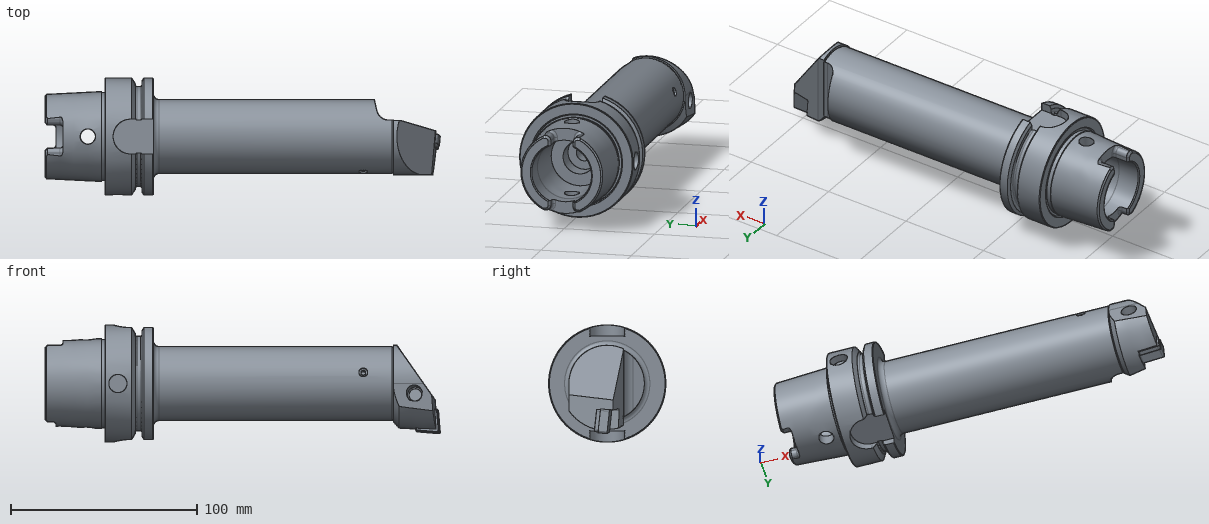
import cadquery as cq
import math


TOTAL_LENGTH = 212.0

SHANK_LENGTH = 32.0
TAPER_RADIUS = 24.2
TAPER_END_RADIUS = 22.7
SHANK_END_CHAMFER = 0.8
RELIEF_WIDTH = 2.0
RELIEF_RADIUS = 23.7
FACE_GROOVE_RADIUS = 25.6
FACE_GROOVE_DEPTH = 0.6
ACCESS_HOLE_X = -9.1
ACCESS_HOLE_RADIUS = 4.0

BORE_RADIUS = 16.5
BORE_MOUTH_CHAMFER = 0.6
BORE_STRAIGHT_DEPTH = 13.0
BORE_FLOOR_RADIUS = 15.5
BORE_FLOOR_X = 6.4
TUBE_HOLE_RADIUS = 9.0
TUBE_HOLE_END_X = 17.0
DRILL_RADIUS = 4.2
DRILL_END_X = 42.4
DRILL_TIP_HALF_ANGLE = 59.0
DRILL_TIP_LENGTH = DRILL_RADIUS / math.tan(math.radians(DRILL_TIP_HALF_ANGLE))
DUCT_RADIUS = 0.8
DUCT_OFFSET = 2.8

KEY_SLOTS = [(1, 9.5), (-1, 5.7)]
KEY_SLOT_HALF_WIDTH = 6.1
KEY_SLOT_EDGE_RADIUS = 2.8
KEY_SLOT_LEDGE_Z = 20.5
KEY_SLOT_FLOOR_FILLET = 1.5
KEY_SLOT_MOUTH_BEVEL = 1.3
KEY_SLOT_MOUTH_ANGLE = 45.0

FLANGE_DIAMETER = 63.0
FLANGE_RADIUS = FLANGE_DIAMETER / 2
FLANGE_WIDTH = 26.0
FLANGE_CHAMFER = 0.5
GROOVE_START_X = 14.5
GROOVE_LEFT_WALL_X = 16.3
GROOVE_RIGHT_WALL_X = 20.0
GROOVE_END_X = 21.0
GROOVE_BOTTOM_RADIUS = 27.0
GROOVE_FILLET = 0.8
GROOVE_LEFT_BEVEL_HEIGHT = 3.2
GROOVE_RIGHT_BEVEL_HEIGHT = 1.7
FLANGE_SLOT_HALF_WIDTH = 9.3
FLANGE_SLOT_START_X = 4.5
FLANGE_SLOT_FLOOR_Z = 25.5
CHIP_HOLE_X = 7.0
CHIP_HOLE_RADIUS = 4.9
CHIP_HOLE_DEPTH = 4.5

BAR_RADIUS = 20.0
BAR_END_X = 154.7
BAR_FILLET = 3.0
BAR_END_CHAMFER = 0.6
BAR_CUT_Y = 9.0
BAR_CUT_WALL_X = 144.5
BAR_CUT_CORNER_X = 147.0
BAR_CUT_FILLET = 6.4

SET_SCREW_X = 138.5
SET_SCREW_Z = 6.1
SET_SCREW_RADIUS = 2.3
SET_SCREW_RECESS = 1.0
SET_SCREW_LENGTH = 6.4
SET_SCREW_SOCKET_WIDTH = 2.5
SET_SCREW_SOCKET_DEPTH = 2.5

HEAD_RADIUS = 20.5
HEAD_BEVEL_END_X = 157.9
HEAD_BELLY_RADIUS = 24.0
HEAD_BELLY_END_RADIUS = 25.6
HEAD_END_X = 176.3
HEAD_END_TILT = 0.075
HEAD_STOCK_END_X = 182.2
HEAD_SLANT_TOP_X = 156.5
HEAD_SLANT_MID_X = 171.0
HEAD_FACE_Y = 8.7
HEAD_FACE_BEND_X = 158.5
HEAD_FACE_ANGLE = 16.5

TIP_X = TOTAL_LENGTH - SHANK_LENGTH
TIP_Z = -27.0
INSERT_EDGE = 13.0
INSERT_CORNER_ANGLE = 80.0
INSERT_NOSE_RADIUS = 0.8
INSERT_THICKNESS = 4.9
SHIM_THICKNESS = 2.1
SHIM_INSET = 0.5
INSERT_TILT = 0.1

CLAMP_HOLE_X = 166.0
CLAMP_HOLE_Z = -5.0
CLAMP_HOLE_RADIUS = 4.2
CLAMP_HOLE_DEPTH = 6.4
CLAMP_SHIFT_X = 0.6
CLAMP_SHIFT_Z = -1.0
CLAMP_SCREW_LENGTH = 4.2
CLAMP_SCREW_CHAMFER = 0.8

OVERCUT = 2.1
MARGIN = 10.5
REACH = 42.4


def turned(points):
    """Solid of revolution about the X axis from (x, radius) points."""
    return cq.Workplane("XY").polyline(points).close().revolve(360, (0, 0, 0), (1, 0, 0))


def rod(start, direction, radius, length):
    """Cylinder that starts at a point and runs along a direction."""
    plane = cq.Plane(origin=start, normal=direction)
    return cq.Workplane(plane).circle(radius).extrude(length)



def holder_blank():
    shank_end = -SHANK_LENGTH
    groove_left_radius = FLANGE_RADIUS - GROOVE_LEFT_BEVEL_HEIGHT
    groove_right_radius = FLANGE_RADIUS - GROOVE_RIGHT_BEVEL_HEIGHT
    profile = (
        cq.Workplane("XY")
        .moveTo(shank_end, 0)
        .lineTo(shank_end, TAPER_END_RADIUS - SHANK_END_CHAMFER)
        .lineTo(shank_end + SHANK_END_CHAMFER, TAPER_END_RADIUS)
        .lineTo(-RELIEF_WIDTH, TAPER_RADIUS)
        .lineTo(-RELIEF_WIDTH, RELIEF_RADIUS)
        .lineTo(FACE_GROOVE_DEPTH, RELIEF_RADIUS)
        .lineTo(FACE_GROOVE_DEPTH, FACE_GROOVE_RADIUS - FACE_GROOVE_DEPTH)
        .lineTo(0, FACE_GROOVE_RADIUS)
        .lineTo(0, FLANGE_RADIUS - FLANGE_CHAMFER)
        .lineTo(FLANGE_CHAMFER, FLANGE_RADIUS)
        .lineTo(GROOVE_START_X, FLANGE_RADIUS)
        .lineTo(GROOVE_LEFT_WALL_X, groove_left_radius)
        .lineTo(GROOVE_LEFT_WALL_X, GROOVE_BOTTOM_RADIUS + GROOVE_FILLET)
        .radiusArc((GROOVE_LEFT_WALL_X + GROOVE_FILLET, GROOVE_BOTTOM_RADIUS), -GROOVE_FILLET)
        .lineTo(GROOVE_RIGHT_WALL_X - GROOVE_FILLET, GROOVE_BOTTOM_RADIUS)
        .radiusArc((GROOVE_RIGHT_WALL_X, GROOVE_BOTTOM_RADIUS + GROOVE_FILLET), -GROOVE_FILLET)
        .lineTo(GROOVE_RIGHT_WALL_X, groove_right_radius)
        .lineTo(GROOVE_END_X, FLANGE_RADIUS)
        .lineTo(FLANGE_WIDTH - FLANGE_CHAMFER, FLANGE_RADIUS)
        .lineTo(FLANGE_WIDTH, FLANGE_RADIUS - FLANGE_CHAMFER)
        .lineTo(FLANGE_WIDTH, BAR_RADIUS + BAR_FILLET)
        .radiusArc((FLANGE_WIDTH + BAR_FILLET, BAR_RADIUS), -BAR_FILLET)
        .lineTo(BAR_END_X - BAR_END_CHAMFER, BAR_RADIUS)
        .lineTo(BAR_END_X, BAR_RADIUS - BAR_END_CHAMFER)
        .lineTo(BAR_END_X, 0)
        .close()
    )
    return profile.revolve(360, (0, 0, 0), (1, 0, 0))


def shank_bore():
    bore = turned([
        (-SHANK_LENGTH, 0),
        (-SHANK_LENGTH, BORE_RADIUS + BORE_MOUTH_CHAMFER),
        (-SHANK_LENGTH + BORE_MOUTH_CHAMFER, BORE_RADIUS),
        (-SHANK_LENGTH + BORE_STRAIGHT_DEPTH, BORE_RADIUS),
        (BORE_FLOOR_X, BORE_FLOOR_RADIUS),
        (BORE_FLOOR_X, TUBE_HOLE_RADIUS),
        (TUBE_HOLE_END_X, TUBE_HOLE_RADIUS),
        (TUBE_HOLE_END_X, DRILL_RADIUS),
        (DRILL_END_X, DRILL_RADIUS),
        (DRILL_END_X + DRILL_TIP_LENGTH, 0),
    ])
    duct = rod((DRILL_END_X, DUCT_OFFSET, 0), (1, 0, 0), DUCT_RADIUS, BAR_END_X - DRILL_END_X)
    return bore.union(duct)


def key_slot_outline(x):
    """Slot section with rounded outer edges, on a plane across the shank at x."""
    half = KEY_SLOT_HALF_WIDTH
    edge = KEY_SLOT_EDGE_RADIUS
    ledge_y = half + edge
    return (
        cq.Workplane("YZ", origin=(x, 0, 0))
        .moveTo(-half, 0)
        .lineTo(-half, KEY_SLOT_LEDGE_Z - edge)
        .radiusArc((-ledge_y, KEY_SLOT_LEDGE_Z), -edge)
        .lineTo(-ledge_y - MARGIN, KEY_SLOT_LEDGE_Z)
        .lineTo(-ledge_y - MARGIN, FLANGE_RADIUS)
        .lineTo(ledge_y + MARGIN, FLANGE_RADIUS)
        .lineTo(ledge_y + MARGIN, KEY_SLOT_LEDGE_Z)
        .lineTo(ledge_y, KEY_SLOT_LEDGE_Z)
        .radiusArc((half, KEY_SLOT_LEDGE_Z - edge), -edge)
        .lineTo(half, 0)
        .close()
    )


def key_slot(side, depth):
    """Slot through the shank wall on the +Z (side 1) or -Z (side -1) side, with a bevelled mouth."""
    slot = (
        key_slot_outline(-SHANK_LENGTH)
        .extrude(depth)
        .faces(">X")
        .edges("not <Z")
        .edges("not >Z")
        .fillet(KEY_SLOT_FLOOR_FILLET)
    )
    mouth_start_x = KEY_SLOT_MOUTH_BEVEL - SHANK_LENGTH
    mouth = key_slot_outline(mouth_start_x).extrude(-KEY_SLOT_MOUTH_BEVEL, taper=-KEY_SLOT_MOUTH_ANGLE)
    slot = slot.union(mouth)
    if side < 0:
        slot = slot.mirror("XY")
    return slot


def flange_slot(side):
    """Round-ended driving slot on the +Z or -Z side of the flange."""
    half = FLANGE_SLOT_HALF_WIDTH
    arc_center_x = FLANGE_SLOT_START_X + half
    slot = (
        cq.Workplane("XY", origin=(0, 0, FLANGE_SLOT_FLOOR_Z))
        .moveTo(FLANGE_WIDTH, -half)
        .lineTo(arc_center_x, -half)
        .threePointArc((FLANGE_SLOT_START_X, 0), (arc_center_x, half))
        .lineTo(FLANGE_WIDTH, half)
        .close()
        .extrude(MARGIN)
    )
    if side < 0:
        slot = slot.mirror("XY")
    return slot


def bar_relief():
    """Clearance cut on the +Y side of the bar end: steep wall, fillet and flat."""
    return (
        cq.Workplane("XY", origin=(0, 0, -REACH))
        .moveTo(BAR_CUT_WALL_X, BAR_RADIUS)
        .lineTo(BAR_CUT_CORNER_X, BAR_CUT_Y)
        .lineTo(BAR_END_X + MARGIN, BAR_CUT_Y)
        .lineTo(BAR_END_X + MARGIN, BAR_RADIUS + MARGIN)
        .lineTo(BAR_CUT_WALL_X, BAR_RADIUS + MARGIN)
        .close()
        .extrude(2 * REACH)
        .edges(cq.selectors.NearestToPointSelector((BAR_CUT_CORNER_X, BAR_CUT_Y, 0)))
        .fillet(BAR_CUT_FILLET)
    )


SET_SCREW_SURFACE_Y = -math.sqrt(BAR_RADIUS**2 - SET_SCREW_Z**2)
SET_SCREW_AXIS = cq.Vector(0, -SET_SCREW_SURFACE_Y, -SET_SCREW_Z).normalized()


def set_screw_point(depth):
    surface = cq.Vector(SET_SCREW_X, SET_SCREW_SURFACE_Y, SET_SCREW_Z)
    return (surface + SET_SCREW_AXIS * depth).toTuple()


def set_screw_hole():
    depth = SET_SCREW_RECESS + SET_SCREW_LENGTH
    return rod(set_screw_point(-OVERCUT), SET_SCREW_AXIS, SET_SCREW_RADIUS, depth + OVERCUT)


def make_holder():
    holder = holder_blank().cut(shank_bore())
    for side, depth in KEY_SLOTS:
        holder = holder.cut(key_slot(side, depth)).cut(flange_slot(side))
    holder = holder.cut(rod((ACCESS_HOLE_X, 0, -REACH), (0, 0, 1), ACCESS_HOLE_RADIUS, 2 * REACH))
    chip_hole_start = (CHIP_HOLE_X, -FLANGE_RADIUS, 0)
    holder = holder.cut(rod(chip_hole_start, (0, 1, 0), CHIP_HOLE_RADIUS, CHIP_HOLE_DEPTH))
    return holder.cut(bar_relief()).cut(set_screw_hole())



def make_set_screw():
    screw = rod(set_screw_point(SET_SCREW_RECESS), SET_SCREW_AXIS, SET_SCREW_RADIUS, SET_SCREW_LENGTH)
    socket_plane = cq.Plane(origin=set_screw_point(SET_SCREW_RECESS), normal=SET_SCREW_AXIS)
    socket_diameter = SET_SCREW_SOCKET_WIDTH / math.cos(math.pi / 6)
    socket = cq.Workplane(socket_plane).polygon(6, socket_diameter).extrude(SET_SCREW_SOCKET_DEPTH)
    return screw.cut(socket)



INSERT_NORMAL = cq.Vector(INSERT_TILT, 1, -INSERT_TILT).normalized()


def rhomb_plate(inset, top, thickness):
    """Rounded rhomb from a height along the insert normal downward; inset moves its sides inward."""
    half_angle = math.radians(INSERT_CORNER_ANGLE / 2)
    corner_to_nose_center = INSERT_NOSE_RADIUS / math.sin(half_angle)
    middle = INSERT_EDGE * math.cos(half_angle) - corner_to_nose_center
    long_half = INSERT_EDGE * math.cos(half_angle) - inset / math.sin(half_angle)
    short_half = INSERT_EDGE * math.sin(half_angle) - inset / math.cos(half_angle)
    nose_center = cq.Vector(TIP_X - INSERT_NOSE_RADIUS, 0, TIP_Z + INSERT_NOSE_RADIUS)
    plane = cq.Plane(
        origin=(nose_center + INSERT_NORMAL * top).toTuple(),
        xDir=(-1, 2 * INSERT_TILT, 1),
        normal=INSERT_NORMAL * -1,
    )
    corners = [
        (middle - long_half, 0),
        (middle, short_half),
        (middle + long_half, 0),
        (middle, -short_half),
    ]
    plate = cq.Workplane(plane).polyline(corners).close().extrude(thickness)
    return plate.edges(cq.selectors.ParallelDirSelector(INSERT_NORMAL)).fillet(INSERT_NOSE_RADIUS)


def make_insert():
    return rhomb_plate(0, 0, INSERT_THICKNESS)


def make_shim():
    return rhomb_plate(SHIM_INSET, -INSERT_THICKNESS, SHIM_THICKNESS)



CLAMP_AXIS = cq.Vector(CLAMP_SHIFT_X, CLAMP_HOLE_DEPTH, CLAMP_SHIFT_Z).normalized()


def clamp_point(depth):
    mouth = cq.Vector(CLAMP_HOLE_X, -HEAD_RADIUS, CLAMP_HOLE_Z)
    return (mouth + CLAMP_AXIS * depth).toTuple()


def make_clamp_screw():
    screw = rod(clamp_point(CLAMP_HOLE_DEPTH), CLAMP_AXIS, CLAMP_HOLE_RADIUS, CLAMP_SCREW_LENGTH)
    return screw.faces("<Y").chamfer(CLAMP_SCREW_CHAMFER)



def head_stock():
    """Cylinder above the axis, widening belly below it, flat along the -Y side."""
    length = HEAD_STOCK_END_X - BAR_END_X
    upper = rod((BAR_END_X, 0, 0), (1, 0, 0), HEAD_RADIUS, length)
    belly = turned([
        (BAR_END_X, 0),
        (BAR_END_X, HEAD_RADIUS),
        (HEAD_BEVEL_END_X, HEAD_BELLY_RADIUS),
        (HEAD_STOCK_END_X, HEAD_BELLY_END_RADIUS),
        (HEAD_STOCK_END_X, 0),
    ])
    corner = (BAR_END_X, -HEAD_RADIUS, -REACH)
    lower_half = cq.Workplane("XY", origin=corner).box(length, REACH, REACH, centered=False)
    return upper.union(belly.intersect(lower_half))


def head_plan():
    """Outline seen along Z: flat on the -Y side, sloping chip face on the +Y side."""
    drop = (HEAD_STOCK_END_X - HEAD_FACE_BEND_X) * math.tan(math.radians(HEAD_FACE_ANGLE))
    return (
        cq.Workplane("XY", origin=(0, 0, -REACH))
        .polyline([
            (BAR_END_X, -HEAD_RADIUS),
            (HEAD_STOCK_END_X, -HEAD_RADIUS),
            (HEAD_STOCK_END_X, HEAD_FACE_Y - drop),
            (HEAD_FACE_BEND_X, HEAD_FACE_Y),
            (BAR_END_X, HEAD_FACE_Y),
        ])
        .close()
        .extrude(2 * REACH)
    )


def head_slant():
    """Material above the slanted plane that runs from the top of the head to its end."""
    slope = (HEAD_SLANT_MID_X - HEAD_SLANT_TOP_X) / HEAD_RADIUS
    plane = cq.Plane(origin=(HEAD_SLANT_MID_X, 0, 0), xDir=(0, 1, 0), normal=(1, 0, slope))
    return cq.Workplane(plane).rect(2 * REACH, 2 * REACH).extrude(REACH)


def head_end():
    """Material beyond the end plane, which leans back toward -Y and toward +Z."""
    normal = (1, -HEAD_END_TILT, HEAD_END_TILT)
    plane = cq.Plane(origin=(HEAD_END_X, 0, 0), xDir=(HEAD_END_TILT, 1, 0), normal=normal)
    return cq.Workplane(plane).rect(2 * REACH, 2 * REACH).extrude(REACH)


def make_head():
    head = head_stock().intersect(head_plan()).cut(head_slant()).cut(head_end())
    insert_seat = rhomb_plate(0, MARGIN, MARGIN + INSERT_THICKNESS)
    head = head.cut(insert_seat).cut(make_shim())
    clamp_hole = rod(clamp_point(-OVERCUT), CLAMP_AXIS, CLAMP_HOLE_RADIUS, CLAMP_HOLE_DEPTH + OVERCUT)
    return head.cut(clamp_hole).cut(make_clamp_screw())


holder = make_holder()
set_screw = make_set_screw()
head = make_head()
insert = make_insert()
shim = make_shim()
clamp_screw = make_clamp_screw()

bodies = [holder, set_screw, head, insert, shim, clamp_screw]
result = cq.Compound.makeCompound([body.solids().val() for body in bodies])